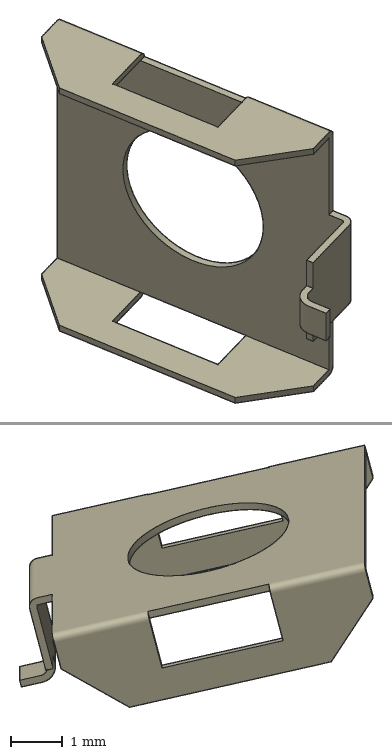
import cadquery as cq

thickness = 0.145
plate_size = 6.2
hole_diameter = 3.2

flange_depth = 1.8
corner_cut = 1.095
flange_bend_radius = thickness
window_width = 2.4
window_front = 1.15

tab_height = 2.0
tab_depth = 1.51
tab_outer_x = 6.695
tab_inner_radius = 0.05
tongue_height = 0.7
tongue_depth = 2.0
tongue_end_x = 7.3
tongue_inner_radius = 0.2

plate_center_x = plate_size / 2
tab_inner_x = tab_outer_x - thickness


def box(x_range, y_range, height):
    """Box spanning the given X and Y ranges, centred on Z = 0."""
    width = x_range[1] - x_range[0]
    depth = y_range[1] - y_range[0]
    return (
        cq.Workplane("XY")
        .box(width, depth, height, centered=(False, False, True))
        .translate((x_range[0], y_range[0], 0))
    )


def make_channel():
    """Back plate with both flanges, bent outer corners, clipped flange corners and openings."""
    channel = box((0, plate_size), (-flange_depth, 0), plate_size)
    channel = channel.edges("|X and >Y").fillet(flange_bend_radius)
    channel = channel.edges("|Z and <Y").chamfer(corner_cut)
    inside = box((0, plate_size), (-flange_depth, -thickness), plate_size - 2 * thickness)
    half_window = window_width / 2
    windows = box(
        (plate_center_x - half_window, plate_center_x + half_window),
        (-window_front, 0),
        plate_size,
    )
    web = box((0, plate_size), (-thickness, 0), plate_size - 2 * thickness)
    hole = (
        cq.Workplane("XZ")
        .center(plate_center_x, 0)
        .circle(hole_diameter / 2)
        .extrude(thickness)
    )
    return channel.cut(inside).cut(windows.cut(web)).cut(hole)


def make_tab():
    """Strip that leaves the plate's right edge and bends forward."""
    arm = box((plate_center_x + hole_diameter / 2, tab_outer_x), (-tab_depth, 0), tab_height)
    arm = arm.edges("|Z and >X and >Y").fillet(tab_inner_radius + thickness)
    inside = box((0, tab_inner_x), (-tab_depth, -thickness), tab_height)
    inside = inside.edges("|Z and >X and >Y").fillet(tab_inner_radius)
    return arm.cut(inside)


def make_tongue():
    """Narrow strip that continues the tab and hooks outward."""
    hook = box((tab_inner_x, tongue_end_x), (-tongue_depth, -tab_depth), tongue_height)
    hook = hook.edges("|Z and <X and <Y").fillet(tongue_inner_radius + thickness)
    outside = box((tab_outer_x, tongue_end_x), (thickness - tongue_depth, -tab_depth), tongue_height)
    outside = outside.edges("|Z and <X and <Y").fillet(tongue_inner_radius)
    return hook.cut(outside)


result = make_channel().union(make_tab()).union(make_tongue())